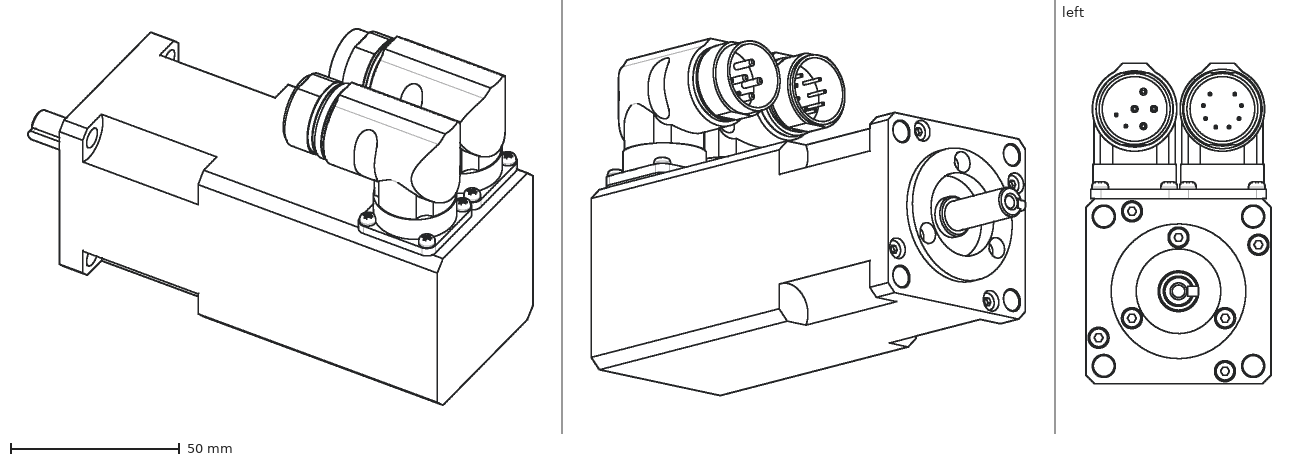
import cadquery as cq
import math


housing_side = 55.0
housing_length = 131.0
overall_height = 95.2
flange_thickness = 8.0
flange_chamfer = 2.6
housing_chamfer = 3.3
half_side = housing_side / 2
corner_pocket_end = 48.0
corner_pocket_radius = 8.0
corner_pocket_offset = 24.0

mounting_hole_offset = 22.2
mounting_hole_radius = 3.1
mounting_hole_chamfer = 0.3
screw_bore_radius = 3.1
screw_head_radius = 2.6
socket_across_corners = 2.6
socket_depth = 1.2
flange_screw_y = 13.8
flange_screw_z = 23.7
flange_screw_recess = 1.5
cover_screw_circle_radius = 16.0
cover_screw_recess = 4.6
cover_screw_angles = (90, 210, 330)

pilot_radius = 20.0
pilot_height = 2.5
recess_radius = 12.5
recess_depth = 5.5
recess_floor = recess_depth - pilot_height
shaft_radius = 4.5
shaft_length = 24.0
shaft_chamfer = 0.5
shaft_collar_radius = 6.0
shaft_collar_height = 2.6
center_bore_radius = 1.9
center_bore_depth = 6.2
center_bore_chamfer = 0.6
key_length = 14.0
key_width = 3.1
key_reach = 5.9
keyway_floor = 2.8

connector_y = 13.0
connector_axis_z = 54.1
connector_x = 114.5
plate_length = 26.2
plate_width = 2 * connector_y
plate_thickness = 2.8
plate_corner_radius = 3.0
plate_top = half_side + plate_thickness
column_collar_radius = 12.4
column_collar_top = 37.7
column_radius = 12.1
column_groove_radius = 3.5
column_groove_offset = 10.0
plate_screw_offset = 10.2
plate_screw_radius = 2.5
plate_screw_height = 2.2
plate_screw_rounding = 1.4
cross_width = 0.8
cross_length = 2.8
cross_depth = 1.0

elbow_radius = 12.5
elbow_front = 90.4
elbow_back = 127.5
elbow_ridge_height = overall_height - half_side - connector_axis_z
elbow_ridge_half_width = 3.5
elbow_ridge_foot = 6.0
elbow_end_radius = 15.0
elbow_slot_x = 104.5
elbow_slot_offset = 12.1

barrel_front = 75.2
barrel_radius = 10.5
barrel_nut_radius = 11.5
barrel_nut_flat = 10.7
cavity_radius = 9.6
cavity_depth = 10.5
pin_circle_radius = 5.7
pin_length = 7.3
thick_pin_radius = 1.0
thin_pin_radius = 0.5

signal_nut_start = 76.3
signal_nut_end = 84.0
signal_rings = [(84.0, 85.4, 11.0), (86.8, 89.0, 11.8), (89.0, 89.6, 11.3)]
power_nut_start = 80.5
power_nut_end = 87.3
power_rings = [(87.3, 88.2, 11.0), (88.2, 89.6, 11.3)]

signal_pin_angles = [90 + 40 * step for step in range(1, 9)]
power_thick_pin_angles = (-63, 0, 63)
power_thin_pin_angles = (198, 243)


def disc(x_start, x_end, radius, y=0, z=0):
    """Round bar along X."""
    return cq.Workplane("YZ", origin=(x_start, y, z)).circle(radius).extrude(x_end - x_start)


def countersink(face_x, hole_radius, chamfer, y=0, z=0):
    """45 degree cone that widens a hole along X at its mouth."""
    mouth = cq.Workplane("YZ", origin=(face_x, y, z)).circle(hole_radius + chamfer)
    return mouth.workplane(offset=chamfer).circle(hole_radius).loft()


def post(x, y, z_start, z_end, radius):
    """Round bar along Z."""
    return cq.Workplane("XY", origin=(x, y, z_start)).circle(radius).extrude(z_end - z_start)


def square_bar(x_start, x_end, chamfer):
    bar = cq.Workplane("YZ", origin=(x_start, 0, 0)).rect(housing_side, housing_side)
    return bar.extrude(x_end - x_start).edges("|X").chamfer(chamfer)


def make_housing():
    """Square flange and body, with side pockets behind the mounting holes."""
    housing = square_bar(0, flange_thickness, flange_chamfer)
    housing = housing.union(square_bar(flange_thickness, housing_length, housing_chamfer))
    for side_y in (-1, 1):
        for side_z in (-1, 1):
            pocket = disc(
                flange_thickness,
                corner_pocket_end,
                corner_pocket_radius,
                side_y * corner_pocket_offset,
                side_z * corner_pocket_offset,
            )
            hole_y = side_y * mounting_hole_offset
            hole_z = side_z * mounting_hole_offset
            hole = disc(0, flange_thickness, mounting_hole_radius, hole_y, hole_z)
            mouth = countersink(0, mounting_hole_radius, mounting_hole_chamfer, hole_y, hole_z)
            housing = housing.cut(pocket).cut(hole).cut(mouth)
    housing = housing.union(disc(-pilot_height, 0, pilot_radius))
    return housing.cut(disc(-pilot_height, recess_floor, recess_radius))


def sunk_screw(face_x, recess, y, z):
    """Ring gap around a recessed socket head, plus the bore above it."""
    head_x = face_x + recess
    gap_end = head_x + socket_depth
    bore = disc(face_x, gap_end, screw_bore_radius, y, z)
    head = disc(head_x, gap_end, screw_head_radius, y, z)
    socket = cq.Workplane("YZ", origin=(head_x, y, z)).polygon(6, socket_across_corners)
    return bore.cut(head).union(socket.extrude(socket_depth))


def cut_screws(body):
    flange_positions = [
        (flange_screw_y, flange_screw_z),
        (-flange_screw_z, flange_screw_y),
        (-flange_screw_y, -flange_screw_z),
        (flange_screw_z, -flange_screw_y),
    ]
    for y, z in flange_positions:
        body = body.cut(sunk_screw(0, flange_screw_recess, y, z))
    for angle in cover_screw_angles:
        y = cover_screw_circle_radius * math.cos(math.radians(angle))
        z = cover_screw_circle_radius * math.sin(math.radians(angle))
        body = body.cut(sunk_screw(-pilot_height, cover_screw_recess, y, z))
    return body


def make_shaft():
    """Keyed shaft with a centre bore and a collar on the recess floor."""
    tip_x = -shaft_length
    shaft = disc(tip_x, recess_floor, shaft_radius).faces("<X").chamfer(shaft_chamfer)
    collar = disc(recess_floor - shaft_collar_height, recess_floor, shaft_collar_radius)
    shaft = shaft.union(collar.faces("<X").chamfer(shaft_chamfer))
    bore = disc(tip_x, tip_x + center_bore_depth, center_bore_radius)
    mouth = countersink(tip_x, center_bore_radius, center_bore_chamfer)
    key = (
        cq.Workplane("XZ", origin=(tip_x + key_length / 2, -keyway_floor, 0))
        .slot2D(key_length, key_width)
        .extrude(key_reach - keyway_floor)
    )
    keyway = cq.Workplane("XZ", origin=(tip_x, -keyway_floor, 0)).rect(key_width, key_width)
    keyway = keyway.extrude(shaft_radius - keyway_floor)
    return shaft.cut(keyway).union(key).cut(bore).cut(mouth)


def make_elbow():
    """Horizontal connector body centred on Y = 0, with a flat ridge on top."""
    length = elbow_back - elbow_front
    ridge_foot_z = math.sqrt(elbow_radius**2 - elbow_ridge_foot**2)
    elbow = (
        cq.Workplane("YZ", origin=(elbow_front, 0, connector_axis_z))
        .moveTo(-elbow_ridge_foot, ridge_foot_z)
        .lineTo(-elbow_ridge_half_width, elbow_ridge_height)
        .lineTo(elbow_ridge_half_width, elbow_ridge_height)
        .lineTo(elbow_ridge_foot, ridge_foot_z)
        .threePointArc((0, -elbow_radius), (-elbow_ridge_foot, ridge_foot_z))
        .close()
        .extrude(length)
    )

    z_low = connector_axis_z - elbow_radius
    z_high = connector_axis_z + elbow_ridge_height
    end_x = elbow_back - elbow_end_radius
    envelope = (
        cq.Workplane("XY", origin=(0, 0, z_low))
        .moveTo(elbow_front, -elbow_end_radius)
        .lineTo(end_x, -elbow_end_radius)
        .threePointArc((elbow_back, 0), (end_x, elbow_end_radius))
        .lineTo(elbow_front, elbow_end_radius)
        .close()
        .extrude(z_high - z_low)
    )
    elbow = elbow.intersect(envelope)
    for side in (-1, 1):
        slot_y = side * elbow_slot_offset
        elbow = elbow.cut(post(elbow_slot_x, slot_y, z_low, z_high, column_groove_radius))
    return elbow


def plate_screw(x, y):
    """Round-headed screw with a cross recess."""
    top = plate_top + plate_screw_height
    head = post(x, y, plate_top, top, plate_screw_radius).faces(">Z").edges().fillet(plate_screw_rounding)
    for size in ((cross_length, cross_width), (cross_width, cross_length)):
        arm = cq.Workplane("XY", origin=(x, y, top - cross_depth)).rect(*size)
        head = head.cut(arm.extrude(cross_depth))
    return head


def make_base():
    """Plate, screws and grooved column carrying the elbow."""
    corners = [(sx, sy) for sx in (-1, 1) for sy in (-1, 1)]
    plate = cq.Workplane("XY", origin=(connector_x, 0, half_side)).rect(plate_length, plate_width)
    base = plate.extrude(plate_thickness).edges("|Z").fillet(plate_corner_radius)
    base = base.union(post(connector_x, 0, plate_top, column_collar_top, column_collar_radius))
    column = post(connector_x, 0, column_collar_top, connector_axis_z, column_radius)
    for sx, sy in corners:
        groove_x = connector_x + sx * column_groove_offset
        groove_y = sy * column_groove_offset
        groove = post(groove_x, groove_y, column_collar_top, connector_axis_z, column_groove_radius)
        column = column.cut(groove)
        base = base.union(plate_screw(connector_x + sx * plate_screw_offset, sy * plate_screw_offset))
    return base.union(column)


def make_barrel(nut_start, nut_end, rings):
    """Hollow plug barrel; the nut has a flat on top and one below."""
    barrel = disc(barrel_front, elbow_front, barrel_radius, 0, connector_axis_z)
    nut = disc(nut_start, nut_end, barrel_nut_radius, 0, connector_axis_z)
    flats = cq.Workplane("YZ", origin=(nut_start, 0, connector_axis_z))
    flats = flats.rect(2 * barrel_nut_radius, 2 * barrel_nut_flat).extrude(nut_end - nut_start)
    barrel = barrel.union(nut.intersect(flats))
    for ring_start, ring_end, ring_radius in rings:
        barrel = barrel.union(disc(ring_start, ring_end, ring_radius, 0, connector_axis_z))
    cavity = disc(barrel_front, barrel_front + cavity_depth, cavity_radius, 0, connector_axis_z)
    return barrel.cut(cavity)


def make_pin(y, z, radius):
    """Pin standing on the cavity floor, with a chamfered tip."""
    floor_x = barrel_front + cavity_depth
    pin = disc(floor_x - pin_length, floor_x, radius, y, connector_axis_z + z)
    return pin.faces("<X").chamfer(radius / 2)


def pin_on_circle(angle, radius):
    y = -pin_circle_radius * math.cos(math.radians(angle))
    z = pin_circle_radius * math.sin(math.radians(angle))
    return make_pin(y, z, radius)


def make_signal_connector():
    barrel = make_barrel(signal_nut_start, signal_nut_end, signal_rings)
    connector = make_base().union(make_elbow()).union(barrel)
    for angle in signal_pin_angles:
        connector = connector.union(pin_on_circle(angle, thin_pin_radius))
    return connector


def make_power_connector():
    barrel = make_barrel(power_nut_start, power_nut_end, power_rings)
    connector = make_base().union(make_elbow()).union(barrel)
    connector = connector.union(make_pin(0, 0, thick_pin_radius))
    for angle in power_thick_pin_angles:
        connector = connector.union(pin_on_circle(angle, thick_pin_radius))
    for angle in power_thin_pin_angles:
        connector = connector.union(pin_on_circle(angle, thin_pin_radius))
    return connector


motor = cut_screws(make_housing()).union(make_shaft())
motor = motor.union(make_signal_connector().translate((0, -connector_y, 0)))
result = motor.union(make_power_connector().translate((0, connector_y, 0)))